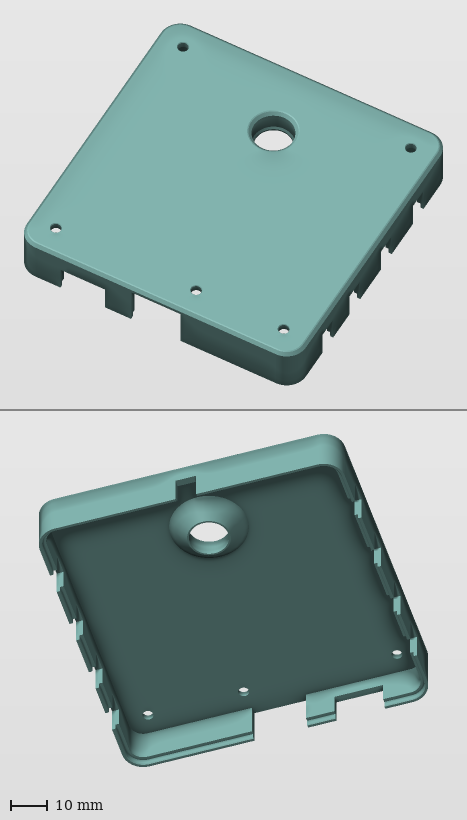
import cadquery as cq

side = 87.28
height = 14.0
corner_radius = 6.0
top_chamfer = 1.0
top_edge_break = 0.2
rim_edge_break = 0.25

wall = 2.0
ceiling = 2.0
rabbet_width = 1.0
rabbet_depth = 1.8
ceiling_z = height - ceiling

screw_hole_diameter = 3.0
indicator_hole_diameter = 3.0
screw_offset = 35.64
indicator_x = 8.25

socket_y = 22.4
socket_bottom_z = 7.1
socket_bottom_radius = 6.0
bore_diameter = 12.0
lip_diameter = 11.0
lip_height = 0.5
bore_chamfer = top_chamfer

slot_width = 6.0
slot_height = 8.0
side_slot_y = (25.3, 7.5, -10.2, -25.3)
front_slot_x = -22.8
front_slot_width = 14.0
front_gate_width = 15.4


def rounded_block(inset, z_bottom, z_top):
    """Square block with round corners, inset evenly from the outer walls."""
    width = side - 2 * inset
    block = cq.Workplane("XY").workplane(offset=z_bottom).rect(width, width)
    return block.extrude(z_top - z_bottom).edges("|Z").fillet(corner_radius - inset)


def opening(x, y, size_x, size_y, top_z):
    """Rectangular cutter rising from the bottom edge to top_z."""
    cutter = cq.Workplane("XY").box(size_x, size_y, top_z, centered=(True, True, False))
    return cutter.translate((x, y, 0))


def shell():
    """Hollow lid with a chamfered top and a rabbet with a broken inner edge at the bottom."""
    body = rounded_block(0, 0, height).faces(">Z").edges().chamfer(top_chamfer)
    cavity = rounded_block(wall, 0, ceiling_z)
    rabbet = rounded_block(wall - rabbet_width, 0, rabbet_depth)
    body = body.cut(cavity).cut(rabbet)
    inner_rim = body.faces("<Z").val().innerWires()[0]
    return body.newObject(inner_rim.Edges()).chamfer(rim_edge_break)


def revolve_at_socket(points):
    """Turn a radius-height outline around the vertical axis of the socket."""
    turned = cq.Workplane("XZ").polyline(points).close().revolve(360, (0, 0), (0, 1))
    return turned.translate((0, socket_y, 0))


def socket_boss():
    """Boss with a 45 degree flank, widening up to the ceiling."""
    boss_top_radius = socket_bottom_radius + ceiling_z - socket_bottom_z
    return revolve_at_socket([
        (0, socket_bottom_z),
        (socket_bottom_radius, socket_bottom_z),
        (boss_top_radius, ceiling_z),
        (0, ceiling_z),
    ])


def socket_bore():
    """Bore chamfered at the top and narrowing at 45 degrees to a lip at the bottom."""
    bore_radius = bore_diameter / 2
    lip_radius = lip_diameter / 2
    lip_top_z = socket_bottom_z + lip_height
    return revolve_at_socket([
        (0, socket_bottom_z),
        (lip_radius, socket_bottom_z),
        (lip_radius, lip_top_z),
        (bore_radius, lip_top_z + bore_radius - lip_radius),
        (bore_radius, height - bore_chamfer),
        (bore_radius + bore_chamfer, height),
        (0, height),
    ])


def wall_openings():
    """Cable slots in the side and back walls and two wider ones in the front wall."""
    wall_centre = (side - wall) / 2
    cutters = [
        opening(0, wall_centre, slot_width, wall, slot_height),
        opening(front_slot_x, -wall_centre, front_slot_width, wall, slot_height),
        opening(0, -wall_centre, front_gate_width, wall, ceiling_z),
    ]
    for y in side_slot_y:
        for x in (-wall_centre, wall_centre):
            cutters.append(opening(x, y, wall, slot_width, slot_height))
    return cutters


def top_holes(points, diameter):
    """Vertical round holes through the ceiling."""
    return cq.Workplane("XY").pushPoints(points).circle(diameter / 2).extrude(height)


screw_points = [(x, y) for x in (-screw_offset, screw_offset) for y in (-screw_offset, screw_offset)]
indicator_points = [(indicator_x, -screw_offset)]

result = shell().union(socket_boss()).cut(socket_bore())
result = result.cut(top_holes(screw_points, screw_hole_diameter))
result = result.cut(top_holes(indicator_points, indicator_hole_diameter))
result = result.faces(">Z").edges().chamfer(top_edge_break)
for cutter in wall_openings():
    result = result.cut(cutter)